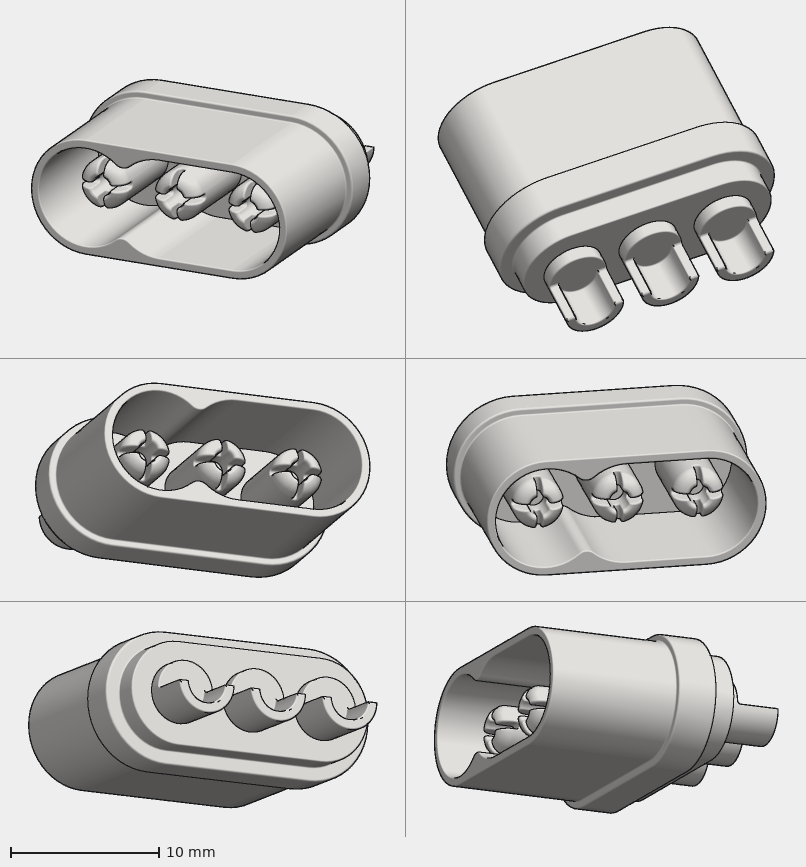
import cadquery as cq
import math


overall_length = 20.2
flange_height = 9.2
flange_radius = flange_height / 2
pitch = overall_length / 2 - flange_radius
contact_xs = [-pitch, 0, pitch]
edge_round = 0.1
margin = 0.2

shell_radius = 4.1
rear_radius = 3.6
flange_front = 9.17
flange_back = 11.92
housing_back = 13.7
flange_round = 0.15

cavity_radius = 3.51
cavity_depth = flange_front
waist_radius = 0.8

pin_radius = 1.75
pin_tip = 2.28
pin_tip_round = 1.0
bore_radius = 0.7
bore_depth = 2.42
bore_lip_round = 0.25
slot_width = 0.4
slot_depth = 1.41
slot_edge_round = 0.12

cup_radius = 2.1
cup_bore_radius = 1.41
cup_shoulder = 14.69
cup_end = 17.7
cup_corner_round = 0.2
cup_nose_round = 0.2


def plane_at(y):
    """Workplane facing -Y at the given Y; negative extrusions run toward +Y."""
    return cq.Workplane("XZ", origin=(0, y, 0))


def rod(radius, front, back):
    """Cylinder on the Y axis, turned so that its seam lies along the top."""
    return plane_at(front).circle(radius).extrude(front - back).rotate((0, 0, 0), (0, 1, 0), -90)


def slab(radius, front, back):
    """Slab with full-round ends centred on the outer contacts."""
    return plane_at(front).slot2D(2 * (pitch + radius), 2 * radius).extrude(front - back)


def cavity():
    """Two lobes around the left and middle contacts, the second running straight to the right end."""
    waist_x = -pitch / 2
    waist_center_z = math.sqrt((cavity_radius + waist_radius) ** 2 - waist_x ** 2)
    waist_z = waist_center_z - waist_radius
    share = cavity_radius / (cavity_radius + waist_radius)
    touch_right = share * waist_x
    touch_left = -pitch - touch_right
    touch_z = share * waist_center_z
    mid_angle = (math.pi / 2 + math.atan2(touch_z, touch_right)) / 2
    mid_x = cavity_radius * math.cos(mid_angle)
    mid_z = cavity_radius * math.sin(mid_angle)
    return (
        plane_at(0)
        .moveTo(0, cavity_radius)
        .lineTo(pitch, cavity_radius)
        .threePointArc((pitch + cavity_radius, 0), (pitch, -cavity_radius))
        .lineTo(0, -cavity_radius)
        .threePointArc((mid_x, -mid_z), (touch_right, -touch_z))
        .threePointArc((waist_x, -waist_z), (touch_left, -touch_z))
        .threePointArc((-pitch - cavity_radius, 0), (touch_left, touch_z))
        .threePointArc((waist_x, waist_z), (touch_right, touch_z))
        .threePointArc((mid_x, mid_z), (0, cavity_radius))
        .close()
        .extrude(-cavity_depth)
    )


def outline_at(y, radius):
    """Selector for the edges of a slab outline of the given radius at one Y."""
    reach = radius + edge_round / 2
    low = (-pitch - reach, y - edge_round / 2, -reach)
    high = (pitch + reach, y + edge_round / 2, reach)
    return cq.selectors.BoxSelector(low, high, boundingbox=True)


def make_housing():
    flange = slab(flange_radius, flange_front, flange_back)
    flange = flange.faces("<Y or >Y").edges().fillet(flange_round)
    shell = slab(shell_radius, 0, flange_front)
    rear = slab(rear_radius, flange_back, housing_back)
    rear = rear.faces(">Y").edges().fillet(edge_round)
    housing = flange.union(shell).union(rear)
    housing = housing.edges(outline_at(flange_front, shell_radius)).fillet(edge_round)
    housing = housing.edges(outline_at(flange_back, rear_radius)).fillet(edge_round)
    housing = housing.cut(cavity())
    housing = housing.faces("<Y").edges().fillet(edge_round)
    for x in contact_xs:
        housing = housing.cut(rod(pin_radius, 0, housing_back).translate((x, 0, 0)))
    return housing


def pin_barrel():
    """Hollow pin: the bore lip arc and the larger outer tip arc run smoothly into each other."""
    lip_x = bore_radius + bore_lip_round
    lip_y = pin_tip + bore_lip_round
    round_x = pin_radius - pin_tip_round
    center_gap = pin_tip_round - bore_lip_round
    round_y = lip_y + math.sqrt(center_gap ** 2 - (lip_x - round_x) ** 2)
    touch_angle = math.asin((lip_x - round_x) / center_gap)

    def on_arc(center_x, center_y, radius, angle):
        return center_x + radius * math.sin(angle), center_y - radius * math.cos(angle)

    touch = on_arc(lip_x, lip_y, bore_lip_round, touch_angle)
    lip_mid = on_arc(lip_x, lip_y, bore_lip_round, (touch_angle - math.pi / 2) / 2)
    round_mid = on_arc(round_x, round_y, pin_tip_round, (touch_angle + math.pi / 2) / 2)
    return (
        cq.Workplane("XY")
        .moveTo(0, pin_tip + bore_depth)
        .lineTo(bore_radius, pin_tip + bore_depth)
        .lineTo(bore_radius, lip_y)
        .threePointArc(lip_mid, touch)
        .threePointArc(round_mid, (pin_radius, round_y))
        .lineTo(pin_radius, housing_back)
        .lineTo(0, housing_back)
        .close()
        .revolve(360, (0, 0, 0), (0, 1, 0))
        .rotate((0, 0, 0), (0, 1, 0), 45)
    )


def pin_slots():
    """Two crossed slots through the tip, with full-round floors."""
    reach = pin_radius + margin
    floor_start = pin_tip + slot_depth - slot_width / 2
    upright = (
        cq.Workplane("XY", origin=(0, 0, -reach))
        .moveTo(-slot_width / 2, pin_tip - margin)
        .lineTo(-slot_width / 2, floor_start)
        .threePointArc((0, pin_tip + slot_depth), (slot_width / 2, floor_start))
        .lineTo(slot_width / 2, pin_tip - margin)
        .close()
        .extrude(2 * reach)
    )
    level = upright.rotate((0, 0, 0), (0, 1, 0), 90)
    return upright.union(level)


def is_slot_rim(edge):
    """True for the edges where a slot breaks through the outer and bore surfaces of the pin."""
    for share in (0.1, 0.5, 0.9):
        point = edge.positionAt(share)
        off_centre = min(abs(point.x), abs(point.z))
        in_slot = off_centre < slot_width / 2 + 0.002 and point.y < pin_tip + slot_depth + 0.002
        if not in_slot:
            return False
    runs_across = edge.geomType() == "LINE" and abs(edge.tangentAt(0).y) < 0.5
    return not runs_across


def make_pin():
    pin = pin_barrel().cut(pin_slots()).val()
    pin = pin.Solids()[0]
    rims = [edge for edge in pin.Edges() if is_slot_rim(edge)]
    return cq.Workplane(pin.fillet(slot_edge_round, rims))


def nose_trim():
    """Cutter that rounds the upper end corner of the trough walls."""
    center_y = cup_end - cup_nose_round
    center_z = -cup_nose_round
    diagonal = cup_nose_round * math.sqrt(0.5)
    return (
        cq.Workplane("YZ", origin=(-cup_radius - margin, 0, 0))
        .moveTo(center_y, 0)
        .threePointArc((center_y + diagonal, center_z + diagonal), (cup_end, center_z))
        .lineTo(cup_end + margin, center_z)
        .lineTo(cup_end + margin, margin)
        .lineTo(center_y, margin)
        .close()
        .extrude(2 * (cup_radius + margin))
    )


def make_cup():
    """Round collar that steps down to a half-cylinder trough, open upward, with softened edges."""
    trough_length = cup_end - cup_shoulder
    cup = rod(cup_radius, housing_back, cup_end)
    headroom = (
        cq.Workplane("XY", origin=(0, cup_end, 0))
        .rect(2 * (cup_radius + margin), 2 * trough_length)
        .extrude(cup_radius + margin)
        .edges("|X and <Y and <Z")
        .fillet(cup_corner_round)
    )
    cup = cup.cut(headroom).cut(rod(cup_bore_radius, cup_shoulder, cup_end))
    behind_collar = cq.selectors.BoxSelector(
        (-cup_radius - margin, cup_shoulder - edge_round, -cup_radius - margin),
        (cup_radius + margin, cup_end + margin, cup_radius + margin),
        boundingbox=True,
    )
    return cup.edges(behind_collar).fillet(edge_round).cut(nose_trim())


def make_contact():
    return make_pin().union(make_cup())


housing = make_housing()
contact = make_contact()
contacts = [contact.translate((x, 0, 0)) for x in contact_xs]
result = cq.Compound.makeCompound([housing.val(), *[contact.val() for contact in contacts]])